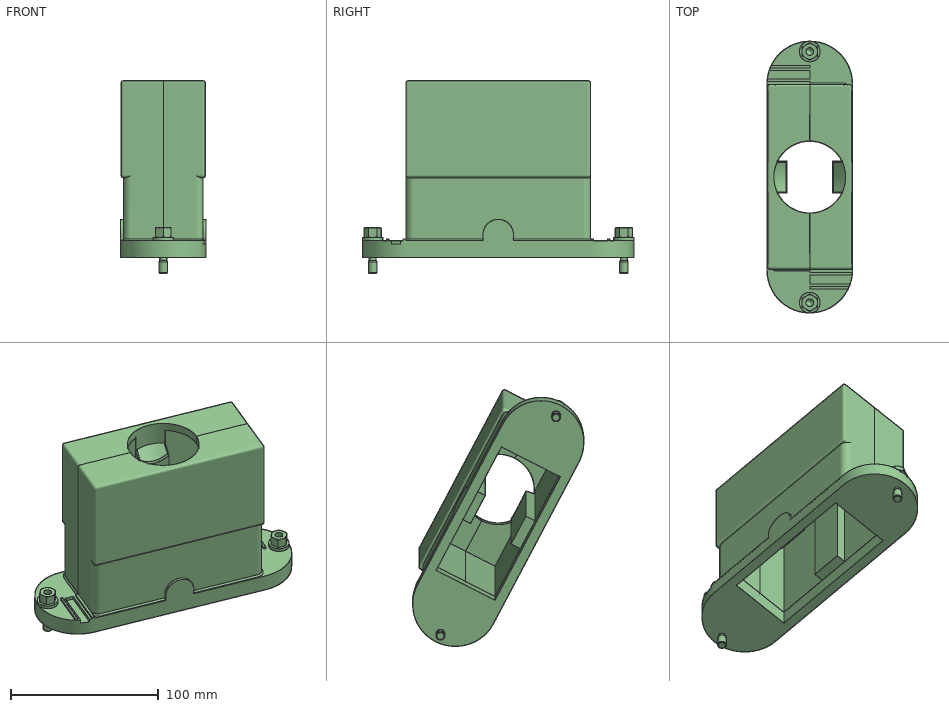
import cadquery as cq

FLANGE_LENGTH = 184.0
FLANGE_WIDTH = 58.0
FLANGE_TOP = 11.5
EDGE_X = FLANGE_WIDTH / 2

FOOT_HEIGHT = 1.1
FOOT_TOP = FLANGE_TOP + FOOT_HEIGHT

COLUMN_WIDTH = 54.1
HOUSING_LENGTH = 125.1
COLUMN_CORNER_RADIUS = 5.2
HOUSING_END = HOUSING_LENGTH / 2

BLOCK_WIDTH = 57.0
BLOCK_BOTTOM = 54.1
HOUSING_TOP = 119.8
BLOCK_FILLET = 1.7

CEILING_THICKNESS = 5.9
CAVITY_TOP = HOUSING_TOP - CEILING_THICKNESS
CAVITY_WIDTH = 44.9
CAVITY_LENGTH = 96.0
CABLE_HOLE_RADIUS = 24.3

PILLAR_WIDTH = 21.7
PILLAR_INNER_X = 15.5
FUNNEL_TOP = 103.5
PILLAR_EDGE_CHAMFER = 1.0

EAR_RADIUS = 10.3
EAR_TOP = 26.0

STEP_END = 64.5
GROOVE_START = 66.2
GROOVE_END = 72.3
GROOVE_DEPTH = 2.2
RIDGE_START = 74.0
RIDGE_END = 75.6

SCREW_Y = 85.0
COLLAR_RADIUS = 7.0
COLLAR_TOP = 13.8
HEX_ACROSS_CORNERS = 11.8
HEX_TOP = 20.5
HEX_CHAMFER = 0.5
SOCKET_RADIUS = 2.5
SOCKET_DEPTH = 3.7
SOCKET_TIP_DEPTH = 5.5
NECK_RADIUS = 2.4
NECK_BOTTOM = -1.8
SHANK_RADIUS = 3.0
SHANK_TOP = -2.8
SHANK_BOTTOM = -10.7
TIP_CHAMFER = 0.5


def block(x_min, x_max, y_min, y_max, z_min, z_max):
    """Axis-aligned box between the given limits."""
    size = (x_max - x_min, y_max - y_min, z_max - z_min)
    return cq.Workplane().box(*size, centered=False).translate((x_min, y_min, z_min))


def centered_block(width, length, z_min, z_max):
    """Box centred on the Z axis."""
    return block(-width / 2, width / 2, -length / 2, length / 2, z_min, z_max)


def stadium(height):
    """Outline of the flange, raised from Z = 0 to the given height."""
    return cq.Workplane().slot2D(FLANGE_LENGTH, FLANGE_WIDTH, 90).extrude(height)



def housing_outside():
    column = centered_block(COLUMN_WIDTH, HOUSING_LENGTH, FOOT_TOP, BLOCK_BOTTOM + 2 * BLOCK_FILLET)
    column = column.edges("|Z").fillet(COLUMN_CORNER_RADIUS)
    upper = centered_block(BLOCK_WIDTH, HOUSING_LENGTH, BLOCK_BOTTOM, HOUSING_TOP)
    return upper.edges().fillet(BLOCK_FILLET).union(column)


def cable_passage():
    """Round hole from the top of the housing that ends in a 45 degree funnel."""
    funnel_apex = FUNNEL_TOP - CABLE_HOLE_RADIUS
    return (
        cq.Workplane("XZ")
        .moveTo(0, funnel_apex)
        .lineTo(CABLE_HOLE_RADIUS, FUNNEL_TOP)
        .lineTo(CABLE_HOLE_RADIUS, HOUSING_TOP)
        .lineTo(0, HOUSING_TOP)
        .close()
        .revolve(360, (0, 0), (0, 1))
    )


def pillar():
    """Pillar on the +X wall; the funnel forms its shoulder, with chamfers where it meets the flat sides."""
    half_width = PILLAR_WIDTH / 2
    body = block(PILLAR_INNER_X, COLUMN_WIDTH / 2, -half_width, half_width, FOOT_TOP, CAVITY_TOP)
    shoulder_edges = body.cut(cable_passage()).faces("%CONE").edges("not %CIRCLE")
    return shoulder_edges.chamfer(PILLAR_EDGE_CHAMFER)


def housing_half():
    """Half of the housing on the +X side."""
    cavity = centered_block(CAVITY_WIDTH, CAVITY_LENGTH, FOOT_TOP, CAVITY_TOP)
    shell = housing_outside().cut(cavity).cut(cable_passage()).union(pillar())
    positive_x = block(0, BLOCK_WIDTH / 2, -HOUSING_END, HOUSING_END, FOOT_TOP, HOUSING_TOP)
    return shell.intersect(positive_x)



def foot():
    """Foot under the housing, widening downward at 45 degrees."""
    width = COLUMN_WIDTH + 2 * FOOT_HEIGHT
    length = HOUSING_LENGTH + 2 * FOOT_HEIGHT
    body = centered_block(width, length, 0, FOOT_TOP)
    body = body.edges("|Z").fillet(COLUMN_CORNER_RADIUS + FOOT_HEIGHT)
    return body.faces(">Z").edges().chamfer(FOOT_HEIGHT)


def ear():
    """Round-topped ear on the +X side, against the outside of the housing."""
    center_z = EAR_TOP - EAR_RADIUS
    return (
        cq.Workplane("YZ", origin=(COLUMN_WIDTH / 2, 0, 0))
        .moveTo(-EAR_RADIUS, 0)
        .lineTo(-EAR_RADIUS, center_z)
        .threePointArc((0, EAR_TOP), (EAR_RADIUS, center_z))
        .lineTo(EAR_RADIUS, 0)
        .close()
        .extrude(EDGE_X - COLUMN_WIDTH / 2)
    )


def raised_steps():
    """Step at the housing end and ridge across the +X, -Y quarter of the flange."""
    step = block(0, EDGE_X, -STEP_END, -HOUSING_END, 0, FOOT_TOP)
    ridge = block(0, EDGE_X, -RIDGE_END, -RIDGE_START, 0, FOOT_TOP)
    return step.union(ridge).intersect(stadium(FOOT_TOP))


def groove():
    """Groove between the step and the ridge on the +X, -Y quarter."""
    return block(0, EDGE_X, -GROOVE_END, -GROOVE_START, FLANGE_TOP - GROOVE_DEPTH, FOOT_TOP)


def make_flange():
    body = stadium(FLANGE_TOP).union(foot())
    for angle in (0, 180):
        for feature in (ear(), raised_steps()):
            body = body.union(feature.rotate((0, 0, 0), (0, 0, 1), angle))
        body = body.cut(groove().rotate((0, 0, 0), (0, 0, 1), angle))
    body = body.cut(centered_block(CAVITY_WIDTH, CAVITY_LENGTH, 0, FOOT_TOP))
    screw_holes = cq.Workplane().pushPoints([(0, -SCREW_Y), (0, SCREW_Y)]).circle(NECK_RADIUS)
    return body.cut(screw_holes.extrude(FLANGE_TOP))



def hex_head():
    """Hexagon with two corners along Y and turned upper and lower edges."""
    height = HEX_TOP - COLLAR_TOP
    corner_radius = HEX_ACROSS_CORNERS / 2
    prism = cq.Workplane().polygon(6, HEX_ACROSS_CORNERS).extrude(height)
    prism = prism.rotate((0, 0, 0), (0, 0, 1), 90)
    turned = cq.Workplane().circle(corner_radius).extrude(height).edges("%CIRCLE").chamfer(HEX_CHAMFER)
    return prism.intersect(turned).translate((0, 0, COLLAR_TOP))


def make_screw():
    """Screw on the Z axis with a collar, a waisted neck and a drilled recess in its head."""
    turned = (
        cq.Workplane("XZ")
        .moveTo(0, COLLAR_TOP)
        .lineTo(COLLAR_RADIUS, COLLAR_TOP)
        .lineTo(COLLAR_RADIUS, FLANGE_TOP)
        .lineTo(NECK_RADIUS, FLANGE_TOP)
        .lineTo(NECK_RADIUS, NECK_BOTTOM)
        .lineTo(SHANK_RADIUS, SHANK_TOP)
        .lineTo(SHANK_RADIUS, SHANK_BOTTOM + TIP_CHAMFER)
        .lineTo(SHANK_RADIUS - TIP_CHAMFER, SHANK_BOTTOM)
        .lineTo(0, SHANK_BOTTOM)
        .close()
        .revolve(360, (0, 0), (0, 1))
    )
    recess = (
        cq.Workplane("XZ")
        .moveTo(0, HEX_TOP)
        .lineTo(SOCKET_RADIUS, HEX_TOP)
        .lineTo(SOCKET_RADIUS, HEX_TOP - SOCKET_DEPTH)
        .lineTo(0, HEX_TOP - SOCKET_TIP_DEPTH)
        .close()
        .revolve(360, (0, 0), (0, 1))
    )
    return turned.union(hex_head()).cut(recess)


flange = make_flange()
housing_halves = [housing_half().rotate((0, 0, 0), (0, 0, 1), angle).val() for angle in (0, 180)]
screws = [make_screw().translate((0, y, 0)).val() for y in (-SCREW_Y, SCREW_Y)]

result = cq.Compound.makeCompound([flange.val(), *housing_halves, *screws])